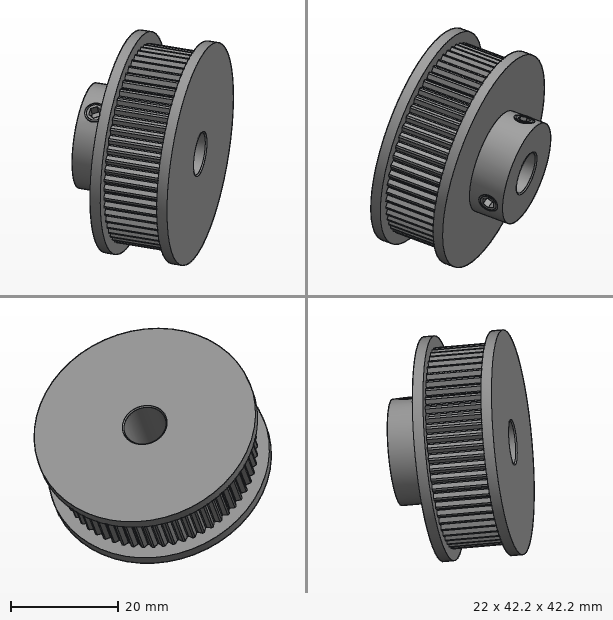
import cadquery as cq
import math

HUB_RADIUS = 10.0
HUB_LENGTH = 6.9
FLANGE_RADIUS = 21.1
FLANGE_THICKNESS = 2.03
TOTAL_LENGTH = 22.0
BELT_WIDTH = TOTAL_LENGTH - HUB_LENGTH - 2 * FLANGE_THICKNESS
BORE_RADIUS = 4.0
BORE_CHAMFER = 0.25

TOOTH_COUNT = 60
TOOTH_PITCH = 360 / TOOTH_COUNT
RIM_RADIUS = 18.85
GROOVE_DEPTH = 0.7
GROOVE_FLOOR_WIDTH = 0.25
GROOVE_MOUTH_WIDTH = 1.6
GROOVE_OVERCUT = 0.2

PAD_RADIUS = 2.0
SCREW_RADIUS = 1.65
SCREW_LENGTH = 3.0
SCREW_X = 3.0
SCREW_TILTS = (-90, 30)
SOCKET_ACROSS_FLATS = 2.15
SOCKET_DEPTH = 2.1


def disc(radius, start_x, length):
    """Solid cylinder along +X."""
    plane = cq.Plane(origin=(start_x, 0, 0), xDir=(0, 0, 1), normal=(1, 0, 0))
    return cq.Workplane(plane).circle(radius).extrude(length)


def make_groove_cutters(start_x, length):
    """Prisms with the groove's section, one per tooth gap, the first on +Y."""
    floor = RIM_RADIUS - GROOVE_DEPTH
    flare = (GROOVE_MOUTH_WIDTH - GROOVE_FLOOR_WIDTH) / 2 / GROOVE_DEPTH
    top = RIM_RADIUS + GROOVE_OVERCUT
    half_floor = GROOVE_FLOOR_WIDTH / 2
    half_top = half_floor + flare * (top - floor)
    groove = (
        cq.Workplane("YZ", origin=(start_x, 0, 0))
        .polyline([(floor, -half_floor), (top, -half_top), (top, half_top), (floor, half_floor)])
        .close()
        .extrude(length)
        .val()
    )
    origin, axis_end = cq.Vector(0, 0, 0), cq.Vector(1, 0, 0)
    return [groove.rotate(origin, axis_end, i * TOOTH_PITCH) for i in range(TOOTH_COUNT)]


def place_on_hub(upright, tilt):
    """Move a shape built along Z to a screw position and tilt it about the X axis."""
    return upright.translate((SCREW_X, 0, 0)).rotate((0, 0, 0), (1, 0, 0), tilt)


def make_radial_rod(radius, tilt):
    """Rod from the pulley axis out to the flat top of the pad."""
    return place_on_hub(cq.Workplane("XY").circle(radius).extrude(HUB_RADIUS), tilt)


def make_set_screw(tilt):
    """Headless screw with a hexagonal socket, two of whose flats face along X."""
    corner_diameter = SOCKET_ACROSS_FLATS / math.cos(math.radians(30))
    upright = (
        cq.Workplane("XY", origin=(0, 0, HUB_RADIUS - SCREW_LENGTH))
        .circle(SCREW_RADIUS)
        .extrude(SCREW_LENGTH)
        .faces(">Z")
        .workplane()
        .transformed(rotate=(0, 0, 90))
        .polygon(6, corner_diameter)
        .cutBlind(-SOCKET_DEPTH)
    )
    return place_on_hub(upright, tilt)


def make_pulley():
    """Toothed rim between two flanges, with a hub, screw pads, a bore and screw holes."""
    rim_start = HUB_LENGTH + FLANGE_THICKNESS
    rim = disc(RIM_RADIUS, rim_start, BELT_WIDTH)
    grooves = cq.Compound.makeCompound(make_groove_cutters(rim_start, BELT_WIDTH))
    rim = rim.cut(cq.Workplane(grooves))

    body = (
        disc(HUB_RADIUS, 0, HUB_LENGTH)
        .union(disc(FLANGE_RADIUS, HUB_LENGTH, FLANGE_THICKNESS))
        .union(rim)
        .union(disc(FLANGE_RADIUS, rim_start + BELT_WIDTH, FLANGE_THICKNESS))
    )
    for tilt in SCREW_TILTS:
        body = body.union(make_radial_rod(PAD_RADIUS, tilt))
    body = body.cut(disc(BORE_RADIUS, 0, TOTAL_LENGTH))
    body = body.faces("<X or >X").edges(cq.selectors.RadiusNthSelector(0)).chamfer(BORE_CHAMFER)
    for tilt in SCREW_TILTS:
        body = body.cut(make_radial_rod(SCREW_RADIUS, tilt))
    return body


pulley = make_pulley()
set_screws = [make_set_screw(tilt) for tilt in SCREW_TILTS]

result = cq.Compound.makeCompound([pulley.val(), *[screw.val() for screw in set_screws]])